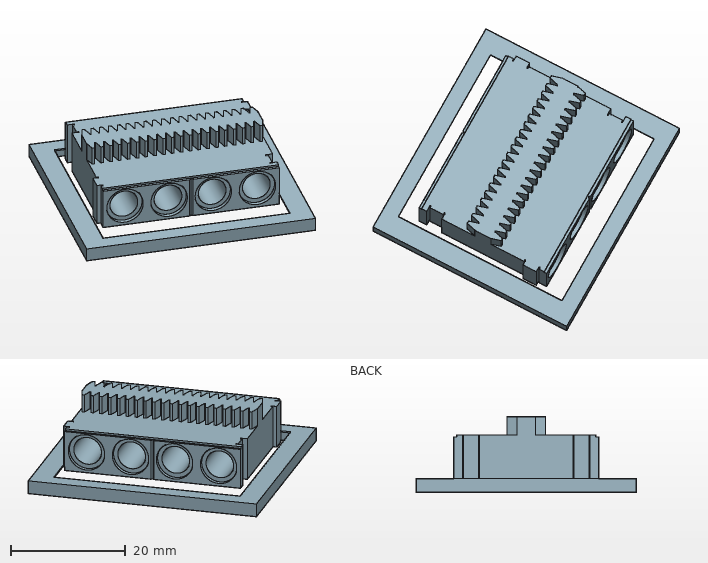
import cadquery as cq

FRAME_WIDTH = 38.4
FRAME_LENGTH = 41.4
FRAME_HEIGHT = 2.4
FRAME_SIDE_BORDER = 3.0
FRAME_END_BORDER = 3.8
FRAME_RIM_THICKNESS = 1.45
FRAME_LIP_THICKNESS = 0.25

BLOCK_WIDTH = 25.35
BLOCK_LENGTH = 31.88
BLOCK_HEIGHT = 7.6
BLOCK_BOTTOM = FRAME_HEIGHT
BLOCK_TOP = BLOCK_BOTTOM + BLOCK_HEIGHT

HOLE_COUNT = 4
HOLE_PITCH = 8.0
HOLE_DIAMETER = 5.0
COUNTERBORE_DIAMETER = 6.6
COUNTERBORE_DEPTH = 0.8
HOLE_HEIGHT = BLOCK_BOTTOM + BLOCK_HEIGHT / 2

STEP_WIDTH = 0.5
STEP_DEPTH = 0.35
GROOVE_WIDTH = 0.6
GROOVE_DEPTH = GROOVE_WIDTH / 2

JOINT_OFFSET = 9.65
NOTCH_WIDTH = 3.0
NOTCH_DEPTH = 0.85
TAB_LENGTH = 0.65
RELIEF_WIDTH = 0.15
RELIEF_DEPTH = 0.37
TAB_WIDTH = NOTCH_WIDTH - 2 * RELIEF_WIDTH

RACK_TOP = 13.2
RACK_HEIGHT = RACK_TOP - BLOCK_TOP
RACK_TIP_WIDTH = 6.75
RACK_ROOT_WIDTH = 3.23
TOOTH_COUNT = 20
TOOTH_PITCH = HOLE_PITCH * HOLE_COUNT / TOOTH_COUNT
TOOTH_TIP_LAND = 0.45
TOOTH_ROOT_LAND = 0.15


def make_frame():
    opening_width = FRAME_WIDTH - 2 * FRAME_SIDE_BORDER
    opening_length = FRAME_LENGTH - 2 * FRAME_END_BORDER
    recess_width = FRAME_WIDTH - 2 * FRAME_RIM_THICKNESS
    recess_length = FRAME_LENGTH - 2 * FRAME_RIM_THICKNESS
    plate = (
        cq.Workplane("XY")
        .rect(FRAME_WIDTH, FRAME_LENGTH)
        .rect(opening_width, opening_length)
        .extrude(FRAME_HEIGHT)
    )
    recess = (
        cq.Workplane("XY")
        .rect(recess_width, recess_length)
        .extrude(FRAME_HEIGHT - FRAME_LIP_THICKNESS)
    )
    return plate.cut(recess)


def block_prism(width, length, x, y):
    """Rectangular prism of the full block height, centred at x, y."""
    return (
        cq.Workplane("XY", origin=(x, y, BLOCK_BOTTOM))
        .rect(width, length)
        .extrude(BLOCK_HEIGHT)
    )


def end_reliefs(x, face_y):
    """Narrow slots at the two flanks of a tab or notch, cut in from a face on the +Y end."""
    spacing = NOTCH_WIDTH - RELIEF_WIDTH
    slot_y = face_y - RELIEF_DEPTH / 2
    left_slot = block_prism(RELIEF_WIDTH, RELIEF_DEPTH, x - spacing / 2, slot_y)
    return left_slot.union(left_slot.translate((spacing, 0, 0)))


def add_end_joint(block):
    """Cut a notch at +X and add a tab at -X on the +Y end face."""
    end_y = BLOCK_LENGTH / 2
    notch = block_prism(NOTCH_WIDTH, NOTCH_DEPTH, JOINT_OFFSET, end_y - NOTCH_DEPTH / 2)
    block = block.cut(notch)
    block = block.cut(end_reliefs(JOINT_OFFSET, end_y - NOTCH_DEPTH))
    block = block.cut(end_reliefs(-JOINT_OFFSET, end_y))
    tab_root_y = end_y - RELIEF_DEPTH
    tab_reach = TAB_LENGTH + RELIEF_DEPTH
    tab = block_prism(TAB_WIDTH, tab_reach, -JOINT_OFFSET, tab_root_y + tab_reach / 2)
    return block.union(tab)


def half_turn(shape):
    return shape.rotate((0, 0, 0), (0, 0, 1), 180)


def cut_side_details(block):
    """Cut the top-edge step, V groove and counterbores of the -X side."""
    side_x = -BLOCK_WIDTH / 2
    step = cq.Workplane("XY").box(STEP_WIDTH, BLOCK_LENGTH, STEP_DEPTH, centered=(False, True, False))
    block = block.cut(step.translate((side_x, 0, BLOCK_TOP - STEP_DEPTH)))
    groove = (
        cq.Workplane("XY", origin=(0, 0, BLOCK_BOTTOM))
        .polyline([
            (side_x, -GROOVE_WIDTH / 2),
            (side_x + GROOVE_DEPTH, 0),
            (side_x, GROOVE_WIDTH / 2),
        ])
        .close()
        .extrude(BLOCK_HEIGHT)
    )
    counterbores = (
        cq.Workplane("YZ", origin=(side_x, 0, HOLE_HEIGHT))
        .rarray(HOLE_PITCH, 0.4, HOLE_COUNT, 1)
        .circle(COUNTERBORE_DIAMETER / 2)
        .extrude(COUNTERBORE_DEPTH)
    )
    return block.cut(groove).cut(counterbores)


def cut_through_holes(block):
    holes = (
        cq.Workplane("YZ", origin=(-BLOCK_WIDTH / 2, 0, HOLE_HEIGHT))
        .rarray(HOLE_PITCH, 0.4, HOLE_COUNT, 1)
        .circle(HOLE_DIAMETER / 2)
        .extrude(BLOCK_WIDTH)
    )
    return block.cut(holes)


def make_rack():
    """Core bar with trapezoidal teeth on both sides; a gap falls at each end."""
    root_x = RACK_ROOT_WIDTH / 2
    tip_x = RACK_TIP_WIDTH / 2
    root_half = (TOOTH_PITCH - TOOTH_ROOT_LAND) / 2
    tip_half = TOOTH_TIP_LAND / 2
    plane = cq.Workplane("XY", origin=(0, 0, BLOCK_TOP))
    rack = plane.rect(RACK_ROOT_WIDTH, BLOCK_LENGTH).extrude(RACK_HEIGHT)
    tooth_pair = (
        plane
        .polyline([
            (-root_x, -root_half),
            (root_x, -root_half),
            (tip_x, -tip_half),
            (tip_x, tip_half),
            (root_x, root_half),
            (-root_x, root_half),
            (-tip_x, tip_half),
            (-tip_x, -tip_half),
        ])
        .close()
        .extrude(RACK_HEIGHT)
    )
    for index in range(TOOTH_COUNT):
        tooth_y = (index - (TOOTH_COUNT - 1) / 2) * TOOTH_PITCH
        rack = rack.union(tooth_pair.translate((0, tooth_y, 0)))
    return rack


def make_rack_block():
    block = block_prism(BLOCK_WIDTH, BLOCK_LENGTH, 0, 0)
    for _ in range(2):
        block = half_turn(cut_side_details(add_end_joint(block)))
    return cut_through_holes(block).union(make_rack())


frame = make_frame()
rack_block = make_rack_block()

result = cq.Compound.makeCompound([frame.solids().val(), rack_block.solids().val()])